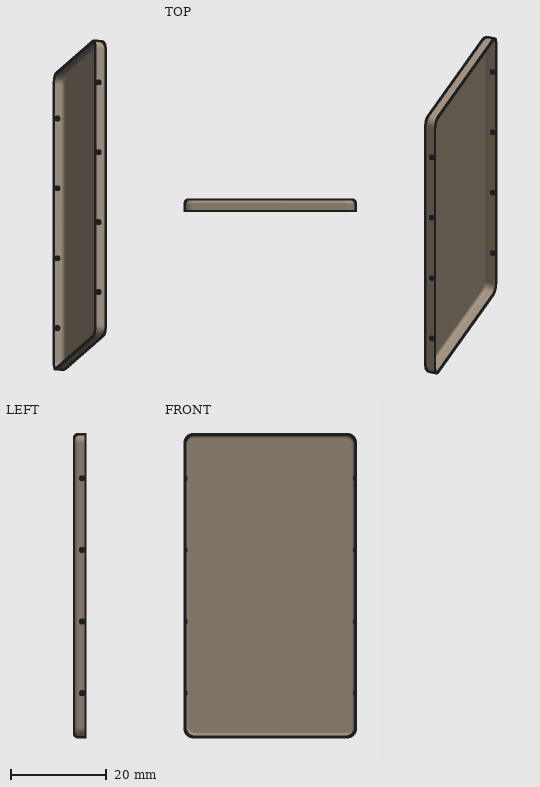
import cadquery as cq

width = 35.9
depth = 2.5
height = 63.5

wall = 0.2
corner_radius = 2.0
back_edge_radius = 1.0

dimple_count = 4
dimple_pitch = 15.0
dimple_radius = 0.3
bulge_radius = 0.45
dimple_from_rim = 0.75

front_y = -depth / 2
dimple_y = front_y + dimple_from_rim


def rounded_block(inset):
    """Return the tray envelope, offset inward by inset on all sides but the open front."""
    block = (
        cq.Workplane("XZ", origin=(0, front_y, 0))
        .rect(width - 2 * inset, height - 2 * inset)
        .extrude(-(depth - inset))
    )
    block = block.edges("|Y").fillet(corner_radius - inset)
    return block.faces(">Y").edges().fillet(back_edge_radius - inset)


def ball(radius, x, z):
    """Return a ball centered on the dimple row at the given X and Z."""
    return cq.Workplane("YZ", origin=(x, dimple_y, z)).sphere(radius)


cavity = rounded_block(wall)
tray = rounded_block(0)

for index in range(dimple_count):
    dimple_z = (index - (dimple_count - 1) / 2) * dimple_pitch
    for face_x in (-width / 2, width / 2):
        cavity = cavity.cut(ball(bulge_radius, face_x, dimple_z))
        tray = tray.cut(ball(dimple_radius, face_x, dimple_z))

result = tray.cut(cavity)